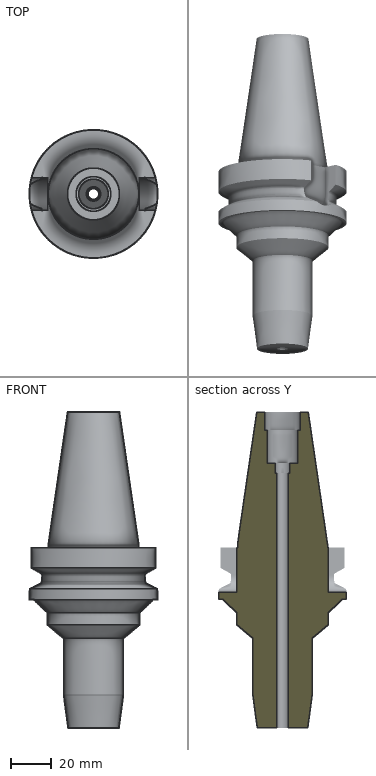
import cadquery as cq
import math


gauge_diameter = 44.45
taper_ratio = 7 / 24
taper_length = 65.1
taper_top_diameter = gauge_diameter - taper_ratio * taper_length

flange_diameter = 63.0
flange_top = -1.5
flange_bottom = -27.0
groove_center = -16.6
groove_mouth_width = 10.3
groove_floor_diameter = 53.0
groove_wall_angle = 30.0
groove_corner_radius = 1.0

flange_cone_diameter = 58.6
collar_diameter = 45.3
collar_top = -33.4
collar_bottom = -39.3
shank_diameter = 29.4
shank_top = -46.0
shank_bottom = -73.6
nose_end_diameter = 25.0
nose_end = -90.0

slot_width = 16.1
slot_floor_distance = 22.5
slot_bottom = -23.2

bore_steps = [(17.0, 9.0), (14.5, 25.0), (7.0, 30.0)]
through_hole_diameter = 5.4


def make_body():
    """Revolve the outer half profile about the Z axis."""
    groove_depth = (flange_diameter - groove_floor_diameter) / 2
    groove_wall_height = groove_depth * math.tan(math.radians(groove_wall_angle))
    mouth_top = groove_center + groove_mouth_width / 2
    mouth_bottom = groove_center - groove_mouth_width / 2

    profile = [
        (taper_top_diameter, taper_length),
        (gauge_diameter, 0),
        (gauge_diameter, flange_top),
        (flange_diameter, flange_top),
        (flange_diameter, mouth_top),
        (groove_floor_diameter, mouth_top - groove_wall_height),
        (groove_floor_diameter, mouth_bottom + groove_wall_height),
        (flange_diameter, mouth_bottom),
        (flange_diameter, flange_bottom),
        (flange_cone_diameter, flange_bottom),
        (collar_diameter, collar_top),
        (collar_diameter, collar_bottom),
        (shank_diameter, shank_top),
        (shank_diameter, shank_bottom),
        (nose_end_diameter, nose_end),
    ]
    outline = [(diameter / 2, height) for diameter, height in profile]
    axis_points = [(0, nose_end), (0, taper_length)]
    half_section = cq.Workplane("XZ").polyline(outline + axis_points).close()
    body = half_section.revolve(360, (0, 0), (0, 1))

    floor_radius = groove_floor_diameter / 2
    margin = groove_wall_height / 2
    corner_zone = cq.selectors.BoxSelector(
        (-floor_radius, -floor_radius, mouth_bottom + margin),
        (floor_radius, floor_radius, mouth_top - margin),
    )
    return body.edges(corner_zone).edges("%CIRCLE").fillet(groove_corner_radius)


def make_drive_slot(side):
    """Round-bottomed slot cutter, open at the flange top, for the +X (1) or -X (-1) side."""
    radius = slot_width / 2
    arc_center = slot_bottom + radius
    cutter_length = flange_diameter / 2
    return (
        cq.Workplane("YZ", origin=(side * slot_floor_distance, 0, 0))
        .moveTo(-radius, flange_top)
        .lineTo(-radius, arc_center)
        .threePointArc((0, slot_bottom), (radius, arc_center))
        .lineTo(radius, flange_top)
        .close()
        .extrude(side * cutter_length)
    )


def make_bore():
    """Coaxial bore steps from the top face, plus the hole through the whole part."""
    top_face = cq.Workplane("XY", origin=(0, 0, taper_length))
    bore = top_face.circle(through_hole_diameter / 2).extrude(nose_end - taper_length)
    for diameter, depth in bore_steps:
        bore = bore.union(top_face.circle(diameter / 2).extrude(-depth))
    return bore


result = make_body()
for slot_side in (1, -1):
    result = result.cut(make_drive_slot(slot_side))
result = result.cut(make_bore())